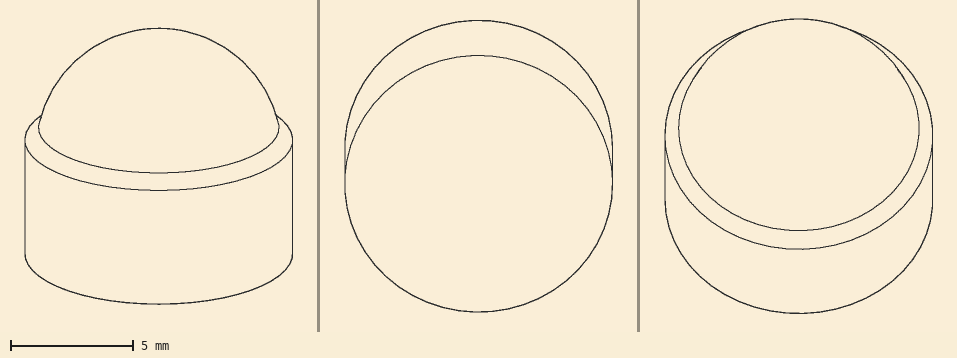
import cadquery as cq
import math

body_diameter = 10.9
body_height = 5.0
total_height = 9.5
dome_radius = 5.0
shoulder_height = 0.54

body_radius = body_diameter / 2
dome_center_z = total_height - dome_radius
dome_base_z = body_height + shoulder_height


def dome_radius_at(z):
    """Radius of the spherical dome at height z."""
    return math.sqrt(dome_radius**2 - (z - dome_center_z) ** 2)


dome_mid_z = (dome_base_z + total_height) / 2


def make_cap():
    """Domed cap: cylinder, conical shoulder and spherical dome, revolved about Z."""
    half_profile = (
        cq.Workplane("XZ")
        .moveTo(0, 0)
        .lineTo(body_radius, 0)
        .lineTo(body_radius, body_height)
        .lineTo(dome_radius_at(dome_base_z), dome_base_z)
        .threePointArc((dome_radius_at(dome_mid_z), dome_mid_z), (0, total_height))
        .close()
    )
    return half_profile.revolve(360, (0, 0, 0), (0, 1, 0))


result = make_cap()